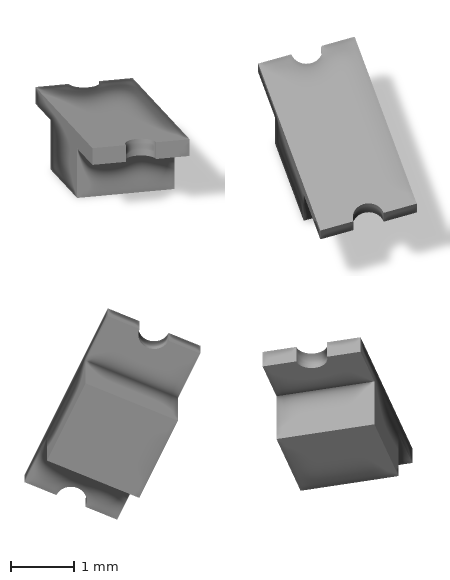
import cadquery as cq

length = 3.2
width = 1.6
total_height = 1.1
plate_thickness = 0.28
block_length = 1.488
notch_radius = 0.25

block_height = total_height - plate_thickness


def make_block():
    """Central block hanging below the plate, across its full width."""
    return cq.Workplane("XY").box(block_length, width, block_height, centered=(True, True, False))


def make_plate():
    """Flat plate with a half-round notch through the middle of each end."""
    plate = cq.Workplane("XY", origin=(0, 0, block_height)).box(
        length, width, plate_thickness, centered=(True, True, False)
    )
    notches = (
        cq.Workplane("XY", origin=(0, 0, block_height))
        .pushPoints([(-length / 2, 0), (length / 2, 0)])
        .circle(notch_radius)
        .extrude(plate_thickness)
    )
    return plate.cut(notches)


result = make_block().union(make_plate())